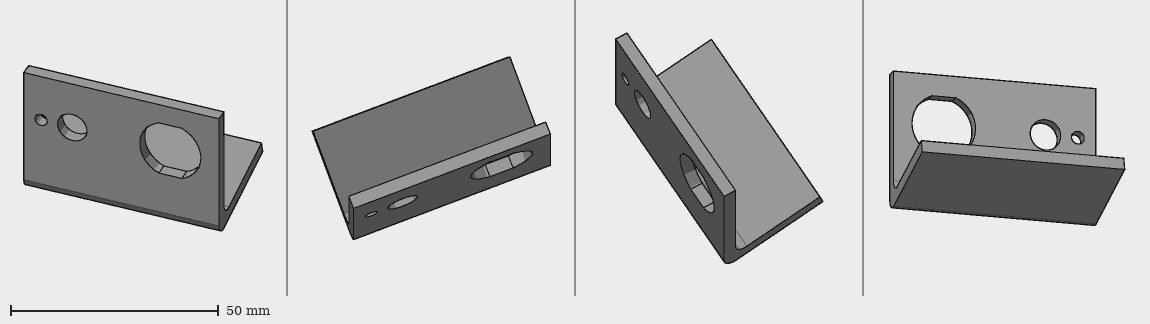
import cadquery as cq
import math

length = 50.8
depth = 27.75
height = 34.25
thickness = 3.2

leg_slope = math.radians(15)
outer_radius = 2.75
inner_radius = 2.55

hole_drop = 12.75
round_holes = [(4.5, 3.15), (12.65, 7.6)]
flatted_hole_x = 38.15
flatted_hole_diameter = 15.9
flatted_hole_height = 14.75


def make_bent_plate():
    """Extrude the angled profile along X; the wall's outer face is at Y = 0."""
    slope = math.tan(leg_slope)
    corner_to_tangent = outer_radius / math.tan((math.pi / 2 - leg_slope) / 2)
    corner_z = outer_radius - corner_to_tangent
    end_offset_y = thickness * math.sin(leg_slope)
    end_offset_z = thickness * math.cos(leg_slope)
    leg_end_z = corner_z + depth * slope
    inner_corner_z = corner_z + thickness * slope + thickness / math.cos(leg_slope)

    profile = [
        (0, corner_z),
        (0, height),
        (thickness, height),
        (thickness, inner_corner_z),
        (depth - end_offset_y, leg_end_z + end_offset_z),
        (depth, leg_end_z),
    ]
    plate = cq.Workplane("YZ").polyline(profile).close().extrude(length)

    def bend_edge(y, z):
        return cq.selectors.NearestToPointSelector((length / 2, y, z))

    plate = plate.edges(bend_edge(0, corner_z)).fillet(outer_radius)
    return plate.edges(bend_edge(thickness, inner_corner_z)).fillet(inner_radius)


def hole_cutter(x, diameter):
    """Cylinder along Y through the upright wall."""
    return (
        cq.Workplane("XZ", origin=(x, 0, height - hole_drop))
        .circle(diameter / 2)
        .extrude(-thickness)
    )


def flatted_hole_cutter():
    """Round hole cut short by a flat at its top and bottom."""
    band = cq.Workplane("XZ", origin=(flatted_hole_x, 0, height - hole_drop))
    band = band.rect(flatted_hole_diameter, flatted_hole_height).extrude(-thickness)
    return hole_cutter(flatted_hole_x, flatted_hole_diameter).intersect(band)


result = make_bent_plate()
for hole_x, hole_diameter in round_holes:
    result = result.cut(hole_cutter(hole_x, hole_diameter))
result = result.cut(flatted_hole_cutter())